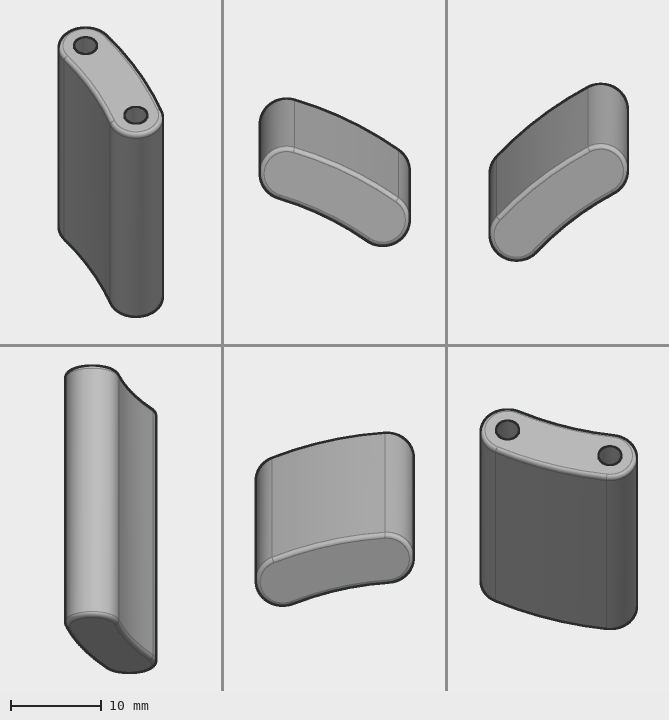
import cadquery as cq
import math

height = 30.0
length = 17.8
end_radius = 3.0
bow_rise = 0.48
edge_fillet = 0.5

hole_diameter = 2.52
hole_depth = 9.0
drill_point_angle = 118.0

end_x = length / 2 - end_radius
bow_radius = (end_x**2 + bow_rise**2) / (2 * bow_rise)
bow_center_y = bow_rise - bow_radius


def offset_end_point(offset):
    """Right-hand end of the centreline arc, moved outward along its radius."""
    scale = (bow_radius + offset) / bow_radius
    return end_x * scale, bow_center_y * (1 - scale)


def make_body():
    """Constant-width bowed slot shape with rounded top and bottom rims."""
    outer_x, outer_y = offset_end_point(end_radius)
    inner_x, inner_y = offset_end_point(-end_radius)
    half_angle = math.asin(end_x / bow_radius)
    tip_x = end_x + end_radius * math.cos(half_angle)
    tip_y = -end_radius * math.sin(half_angle)
    outline = (
        cq.Workplane("XY")
        .moveTo(-outer_x, outer_y)
        .threePointArc((0, bow_rise + end_radius), (outer_x, outer_y))
        .threePointArc((tip_x, tip_y), (inner_x, inner_y))
        .threePointArc((0, bow_rise - end_radius), (-inner_x, inner_y))
        .threePointArc((-tip_x, tip_y), (-outer_x, outer_y))
        .close()
    )
    return outline.extrude(height).faces("<Z or >Z").edges().fillet(edge_fillet)


def make_hole(x):
    """Drilled hole from the top face with a conical bottom."""
    radius = hole_diameter / 2
    floor_z = height - hole_depth
    point_length = radius / math.tan(math.radians(drill_point_angle / 2))
    profile = (
        cq.Workplane("XZ")
        .moveTo(0, height)
        .lineTo(radius, height)
        .lineTo(radius, floor_z)
        .lineTo(0, floor_z - point_length)
        .close()
    )
    return profile.revolve(360, (0, 0, 0), (0, 1, 0)).translate((x, 0, 0))


result = make_body()
for hole_x in (-end_x, end_x):
    result = result.cut(make_hole(hole_x))